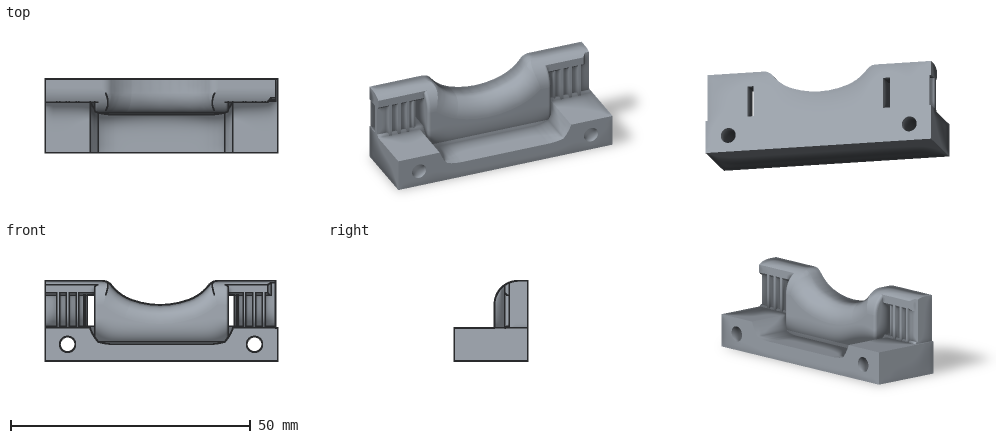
import cadquery as cq
import math

length = 48.59
depth = 15.4
height = 16.75
mid_x = length / 2

base_height = 6.9
bolt_hole_diameter = 3.2
bolt_hole_spacing = 39.0
bolt_hole_x = 4.7
bolt_hole_z = 3.48

trough_floor_z = 3.5
trough_flat_half_length = 9.93
trough_bend_half_length = 13.2
trough_top_half_length = 15.05
trough_bend_radius = 11.6
trough_side_sagitta = 0.2

wall_length = 48.12
boss_depth = 7.0
clamp_depth = 4.82
boss_half_length = 13.95
boss_side_fillet = 0.6
top_round_radius = 5.0

saddle_floor_z = 11.72
saddle_mid_x = 24.0
saddle_floor_radius = 17.5
saddle_floor_angle = 20.0
saddle_flank_angle = 52.0
saddle_round_radius = 4.0
shoulder_radius = 2.4

channel_floor_z = 7.3
channel_roof_z = 13.75
channel_back_depth = 3.93
channel_mouth_chamfer = 0.47
slope_start_depth = clamp_depth - channel_mouth_chamfer
slope_end_depth = 7.46
left_core_end_x = 8.83
right_core_end_x = 39.5

tooth_pitch = 2.0
tooth_width = 0.6
groove_root_radius = 0.46
left_first_tooth_x = 2.77
right_first_tooth_x = 41.62
teeth_per_side = 3

entry_tooth_width = 0.25
entry_tooth_front_depth = 4.4
left_entry_tooth_x = 8.23
right_entry_tooth_x = 40.16

end_relief_start_x = 46.45
end_relief_x = 47.22

end_pocket_depth = 2.96
end_pocket_sagitta = 0.2
end_post_x = 0.3
end_post_radius = 1.62

overlap = 1.0
pick_margin = 0.1

boss_left_x = mid_x - boss_half_length
boss_right_x = mid_x + boss_half_length


def block(x_min, x_max, depth_min, depth_max, z_min, z_max):
    """Box between two X values, two depths in front of the back face and two heights."""
    size = (x_max - x_min, depth_max - depth_min, z_max - z_min)
    return cq.Workplane("XY").box(*size, centered=False).translate((x_min, -depth_max, z_min))


def make_trough():
    """Trough along Y: flat floor, wide bends and steep, slightly hollow sides."""
    bend_run = trough_bend_half_length - trough_flat_half_length
    bend_angle = math.asin(bend_run / trough_bend_radius)
    bend_center_z = trough_floor_z + trough_bend_radius
    mid_run = trough_bend_radius * math.sin(bend_angle / 2)
    mid_z = bend_center_z - trough_bend_radius * math.cos(bend_angle / 2)
    bend_top_z = bend_center_z - trough_bend_radius * math.cos(bend_angle)
    return (
        cq.Workplane("XZ")
        .moveTo(mid_x - trough_top_half_length, channel_floor_z)
        .sagittaArc((mid_x - trough_bend_half_length, bend_top_z), -trough_side_sagitta)
        .threePointArc(
            (mid_x - trough_flat_half_length - mid_run, mid_z),
            (mid_x - trough_flat_half_length, trough_floor_z),
        )
        .lineTo(mid_x + trough_flat_half_length, trough_floor_z)
        .threePointArc(
            (mid_x + trough_flat_half_length + mid_run, mid_z),
            (mid_x + trough_bend_half_length, bend_top_z),
        )
        .sagittaArc((mid_x + trough_top_half_length, channel_floor_z), -trough_side_sagitta)
        .close()
        .extrude(depth)
    )


def make_base():
    base = block(0, length, 0, depth, 0, base_height)
    wedge = (
        cq.Workplane("YZ")
        .polyline([
            (overlap, 0),
            (overlap, channel_floor_z),
            (-slope_start_depth, channel_floor_z),
            (-slope_end_depth, trough_floor_z),
            (-slope_end_depth, 0),
        ])
        .close()
        .extrude(length)
    )
    return base.cut(make_trough().cut(wedge))


def arc_point(center, radius, angle):
    """Point on a circle, the angle measured from straight down toward -X."""
    return (center[0] - radius * math.sin(angle), center[1] - radius * math.cos(angle))


def mirrored(point):
    return (2 * saddle_mid_x - point[0], point[1])


def make_saddle_cutter():
    """Material removed above the saddle: floor arc, tighter flank arcs and convex shoulders."""
    floor_angle = math.radians(saddle_floor_angle)
    flank_angle = math.radians(saddle_flank_angle)
    rise_left = (
        height - saddle_floor_z
        - saddle_floor_radius * (1 - math.cos(floor_angle))
        - shoulder_radius * (1 - math.cos(flank_angle))
    )
    flank_radius = rise_left / (math.cos(floor_angle) - math.cos(flank_angle))

    floor_center = (saddle_mid_x, saddle_floor_z + saddle_floor_radius)
    floor_end = arc_point(floor_center, saddle_floor_radius, floor_angle)
    flank_center = arc_point(floor_center, saddle_floor_radius - flank_radius, floor_angle)
    flank_mid = arc_point(flank_center, flank_radius, (floor_angle + flank_angle) / 2)
    flank_end = arc_point(flank_center, flank_radius, flank_angle)
    shoulder_center = arc_point(flank_center, flank_radius + shoulder_radius, flank_angle)
    shoulder_mid = arc_point(shoulder_center, -shoulder_radius, flank_angle / 2)
    shoulder_start = (shoulder_center[0], height)
    return (
        cq.Workplane("XZ")
        .moveTo(*shoulder_start)
        .threePointArc(shoulder_mid, flank_end)
        .threePointArc(flank_mid, floor_end)
        .threePointArc((saddle_mid_x, saddle_floor_z), mirrored(floor_end))
        .threePointArc(mirrored(flank_mid), mirrored(flank_end))
        .threePointArc(mirrored(shoulder_mid), mirrored(shoulder_start))
        .close()
        .extrude(boss_depth)
    )


def make_wall_blank():
    """Full-length wall with the saddle in its top and a rounded front top edge."""
    front_top_edges = cq.selectors.BoxSelector(
        (overlap, -boss_depth - overlap, saddle_floor_z - overlap),
        (wall_length - overlap, -boss_depth + overlap, height + overlap),
    )
    saddle_wall = (
        block(0, wall_length, 0, boss_depth, 0, height)
        .cut(make_saddle_cutter())
        .edges(front_top_edges)
        .fillet(saddle_round_radius)
    )
    rounded_bar = block(0, wall_length, 0, boss_depth, 0, height).edges("<Y and >Z").fillet(top_round_radius)
    return saddle_wall.intersect(rounded_bar)


def make_wall():
    """Wall with its two clamp lengths cut back, leaving the boss standing proud."""
    wall = make_wall_blank()
    for x_min, x_max in ((-overlap, boss_left_x), (boss_right_x, length)):
        wall = wall.cut(block(x_min, x_max, clamp_depth, depth, -overlap, height + overlap))
    for side_x in (boss_left_x, boss_right_x):
        corner_edges = cq.selectors.BoxSelector(
            (side_x - pick_margin, -boss_depth - pick_margin, 0),
            (side_x + pick_margin, -clamp_depth - pick_margin, height),
        )
        wall = wall.edges(corner_edges).fillet(boss_side_fillet)
    return wall


def belt_tooth(x, width, front_depth):
    """Vertical rib flared at its root by the rounded grooves on both sides."""
    root_drop = groove_root_radius * (1 - math.sqrt(0.5))
    half_width = width / 2
    root_half_width = half_width + groove_root_radius
    return (
        cq.Workplane("XY", origin=(x, 0, trough_floor_z))
        .moveTo(-root_half_width, -channel_back_depth)
        .threePointArc(
            (-half_width - root_drop, -channel_back_depth - root_drop),
            (-half_width, -channel_back_depth - groove_root_radius),
        )
        .lineTo(-half_width, -front_depth)
        .lineTo(half_width, -front_depth)
        .lineTo(half_width, -channel_back_depth - groove_root_radius)
        .threePointArc(
            (half_width + root_drop, -channel_back_depth - root_drop),
            (root_half_width, -channel_back_depth),
        )
        .close()
        .extrude(height - trough_floor_z)
    )


def make_channel(x_min, x_max):
    """Straight belt channel, its roof and floor sloping apart at the mouth."""
    floor_slope = (channel_floor_z - trough_floor_z) / (slope_end_depth - slope_start_depth)
    return (
        cq.Workplane("YZ", origin=(x_min, 0, 0))
        .polyline([
            (-channel_back_depth, channel_floor_z),
            (-slope_start_depth, channel_floor_z),
            (-clamp_depth, channel_floor_z - floor_slope * channel_mouth_chamfer),
            (-clamp_depth, channel_roof_z + channel_mouth_chamfer),
            (-slope_start_depth, channel_roof_z),
            (-channel_back_depth, channel_roof_z),
        ])
        .close()
        .extrude(x_max - x_min)
    )


def cut_clamp(wall, x_min, x_max, core_end_x, first_tooth_x, entry_tooth_x):
    """Belt channel with its teeth, and the window that leads the belt to the back of the wall."""
    channel = make_channel(x_min, x_max)
    for index in range(teeth_per_side):
        tooth = belt_tooth(first_tooth_x + index * tooth_pitch, tooth_width, clamp_depth)
        channel = channel.cut(tooth)
    channel = channel.cut(belt_tooth(entry_tooth_x, entry_tooth_width, entry_tooth_front_depth))
    if core_end_x < mid_x:
        window_range = (core_end_x, boss_left_x)
    else:
        window_range = (boss_right_x, core_end_x)
    window = block(*window_range, -overlap, clamp_depth, channel_floor_z, channel_roof_z)
    return wall.cut(channel).cut(window)


def cut_end_pocket(wall):
    """Tapering pocket for the belt tail, open on the left end, curving around a rounded post."""
    post_mid_drop = end_post_radius * math.sqrt(0.5)
    post_center_x = end_post_x + end_post_radius
    pocket = (
        cq.Workplane("XY", origin=(0, 0, channel_floor_z))
        .moveTo(0, 0)
        .lineTo(end_post_x, 0)
        .threePointArc(
            (post_center_x - post_mid_drop, -post_mid_drop),
            (post_center_x, -end_post_radius),
        )
        .sagittaArc((0, -end_pocket_depth), end_pocket_sagitta)
        .close()
        .extrude(channel_roof_z - channel_floor_z)
    )
    return wall.cut(pocket)


def cut_end_relief(wall):
    """Right end of the wall, cut back to the channel depth behind a slanted step."""
    relief = (
        cq.Workplane("XY", origin=(0, 0, channel_floor_z))
        .polyline([
            (end_relief_start_x, -clamp_depth),
            (end_relief_x, -channel_back_depth),
            (wall_length, -channel_back_depth),
            (wall_length, -clamp_depth),
        ])
        .close()
        .extrude(height - channel_floor_z)
    )
    return wall.cut(relief)


def make_bolt_holes():
    centers = [(bolt_hole_x, bolt_hole_z), (bolt_hole_x + bolt_hole_spacing, bolt_hole_z)]
    return cq.Workplane("XZ").pushPoints(centers).circle(bolt_hole_diameter / 2).extrude(depth)


wall = make_wall()
wall = cut_clamp(wall, 0, boss_left_x, left_core_end_x, left_first_tooth_x, left_entry_tooth_x)
wall = cut_clamp(
    wall, boss_right_x, wall_length, right_core_end_x, right_first_tooth_x, right_entry_tooth_x
)
wall = cut_end_pocket(wall)
wall = cut_end_relief(wall)
wall = wall.intersect(block(0, length, 0, depth, trough_floor_z, height))

result = make_base().union(wall).cut(make_bolt_holes())